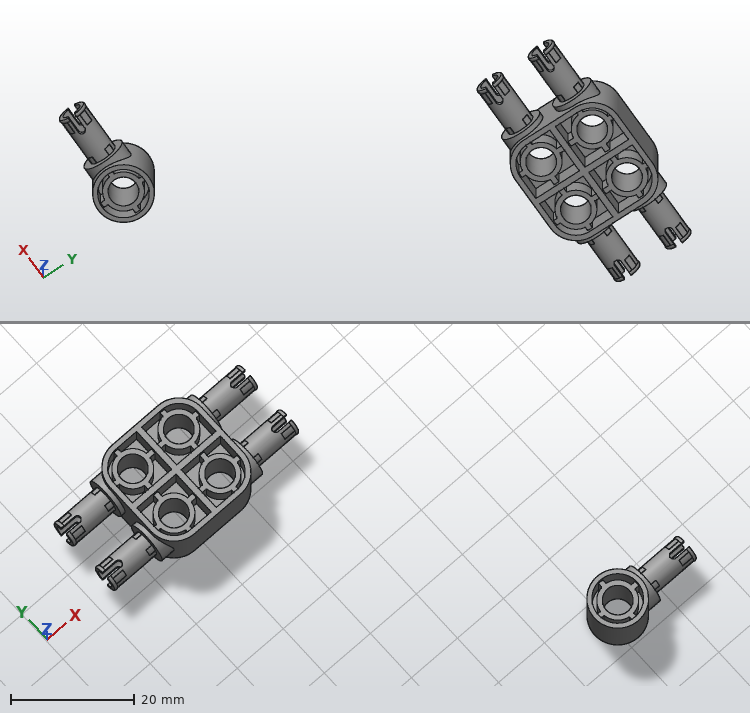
import cadquery as cq

PITCH = 10.0
THICKNESS = 10.0
SPAN_X = 73.9
SPAN_Y = 78.9

OUTER_RADIUS = PITCH / 2
RING_CAVITY_DIAMETER = 8.4
BLOCK_WALL = 0.95
BLOCK_WEB = 1.1
RIB_WIDTH = 0.95
RIM_DEPTH = 0.95
FLOOR_THICKNESS = 0.95
BOSS_DIAMETER = 6.8
HOLE_DIAMETER = 5.0

FLANGE_DIAMETER = 7.5
FLANGE_REACH = 5.9
PIN_REACH = 15.0
PIN_DIAMETER = 4.8
BORE_DIAMETER = 3.3
LIP_DIAMETER = 5.0
LIP_LENGTH = 0.6
TIP_DIAMETER = 4.7
SLOT_WIDTH = 1.3
SLOT_DEPTH = 3.55

PAD_DIAMETER = 5.0
PAD_WIDTH = 1.3
ROOT_PAD_LENGTH = 1.3
TIP_PAD_START = 2.8
PAD_ANGLES = (45, 135, 225, 315)

HALF_THICKNESS = THICKNESS / 2
BLOCK_SIDE = 2 * PITCH
SIDES = (-1, 1)
BLOCK_HOLES = [(x * PITCH / 2, y * PITCH / 2) for x in SIDES for y in SIDES]
RING_X = SPAN_X - (PITCH / 2 + PIN_REACH) - PIN_REACH
RING_Y = -(SPAN_Y - BLOCK_SIDE / 2 - OUTER_RADIUS)


def slab(sketch, half_height):
    """Extrude a sketch on the middle plane equally up and down."""
    return sketch.extrude(half_height, both=True)


def rounded_square(side, corner_radius):
    return slab(cq.Workplane("XY").rect(side, side), HALF_THICKNESS).edges("|Z").fillet(corner_radius)


def rod(diameter, start, end):
    """A cylinder along X."""
    return cq.Workplane("YZ", origin=(start, 0, 0)).circle(diameter / 2).extrude(end - start)


def pin_body():
    """Flange, shank and rounded lip, turned about X."""
    lip_start = PIN_REACH - LIP_LENGTH
    lip_crest = (PIN_REACH - LIP_LENGTH / 2, LIP_DIAMETER / 2)
    return (
        cq.Workplane("XY")
        .lineTo(0, FLANGE_DIAMETER / 2)
        .lineTo(FLANGE_REACH, FLANGE_DIAMETER / 2)
        .lineTo(FLANGE_REACH, PIN_DIAMETER / 2)
        .lineTo(lip_start, PIN_DIAMETER / 2)
        .threePointArc(lip_crest, (PIN_REACH, TIP_DIAMETER / 2))
        .lineTo(PIN_REACH, 0)
        .close()
        .revolve(360, (0, 0, 0), (1, 0, 0))
    )


def pad(start, end, angle):
    """A low raised patch on the shank."""
    bar = cq.Workplane("XY", origin=(start, 0, 0)).box(
        end - start, PAD_WIDTH, PAD_DIAMETER, centered=(False, True, False)
    )
    return rod(PAD_DIAMETER, start, end).intersect(bar.rotate((0, 0, 0), (1, 0, 0), angle))


def tip_slot():
    """A round-ended slot through the tip, open at the end of the pin."""
    round_x = PIN_REACH - SLOT_DEPTH + SLOT_WIDTH / 2
    round_end = slab(cq.Workplane("XY").center(round_x, 0).circle(SLOT_WIDTH / 2), PIN_DIAMETER)
    straight = cq.Workplane("XY").center((round_x + PIN_REACH) / 2, 0).rect(PIN_REACH - round_x, SLOT_WIDTH)
    return round_end.union(slab(straight, PIN_DIAMETER))


def make_pin():
    """A hollow split pin along +X, starting at a hole axis."""
    pin = pin_body()
    for angle in PAD_ANGLES:
        pin = pin.union(pad(FLANGE_REACH, FLANGE_REACH + ROOT_PAD_LENGTH, angle))
        pin = pin.union(pad(PIN_REACH - TIP_PAD_START, PIN_REACH - LIP_LENGTH, angle))
    pin = pin.cut(rod(BORE_DIAMETER, FLANGE_REACH, PIN_REACH))
    return pin.cut(tip_slot())


def cell_filling(places, reach, cavity):
    """Boss, four ribs and middle floor for each hole, kept inside the cavity."""
    half_height = HALF_THICKNESS - RIM_DEPTH
    centres = cq.Workplane("XY").pushPoints(places)
    filling = slab(centres.circle(BOSS_DIAMETER / 2), half_height)
    filling = filling.union(slab(centres.rect(reach, RIB_WIDTH), half_height))
    filling = filling.union(slab(centres.rect(RIB_WIDTH, reach), half_height))
    filling = filling.union(slab(centres.rect(reach, reach), FLOOR_THICKNESS / 2))
    return filling.intersect(cavity)


def drill_holes(body, places):
    holes = cq.Workplane("XY").pushPoints(places).circle(HOLE_DIAMETER / 2)
    return body.cut(slab(holes, HALF_THICKNESS))


def make_block():
    """Square housing with four holes and two pins on each X side."""
    outline = rounded_square(BLOCK_SIDE, OUTER_RADIUS)
    cavity = rounded_square(BLOCK_SIDE - 2 * BLOCK_WALL, OUTER_RADIUS - BLOCK_WALL)
    block = outline.cut(cavity)

    web_length = BLOCK_SIDE - BLOCK_WALL
    block = block.union(slab(cq.Workplane("XY").rect(web_length, BLOCK_WEB), HALF_THICKNESS))
    block = block.union(slab(cq.Workplane("XY").rect(BLOCK_WEB, web_length), HALF_THICKNESS))
    block = block.union(cell_filling(BLOCK_HOLES, PITCH, cavity))

    right_pin = make_pin()
    left_pin = right_pin.mirror("YZ")
    for x, y in BLOCK_HOLES:
        pin = right_pin if x > 0 else left_pin
        block = block.union(pin.translate((x, y, 0)).cut(cavity))
    return drill_holes(block, BLOCK_HOLES)


def make_ring():
    """Round housing with one hole and one pin on the +X side."""
    centre = [(0, 0)]
    outline = slab(cq.Workplane("XY").circle(OUTER_RADIUS), HALF_THICKNESS)
    cavity = slab(cq.Workplane("XY").circle(RING_CAVITY_DIAMETER / 2), HALF_THICKNESS)
    ring = outline.cut(cavity)
    ring = ring.union(cell_filling(centre, RING_CAVITY_DIAMETER, cavity))
    ring = ring.union(make_pin().cut(cavity))
    return drill_holes(ring, centre).translate((RING_X, RING_Y, 0))


block = make_block()
ring = make_ring()

result = cq.Compound.makeCompound([block.val(), ring.val()])